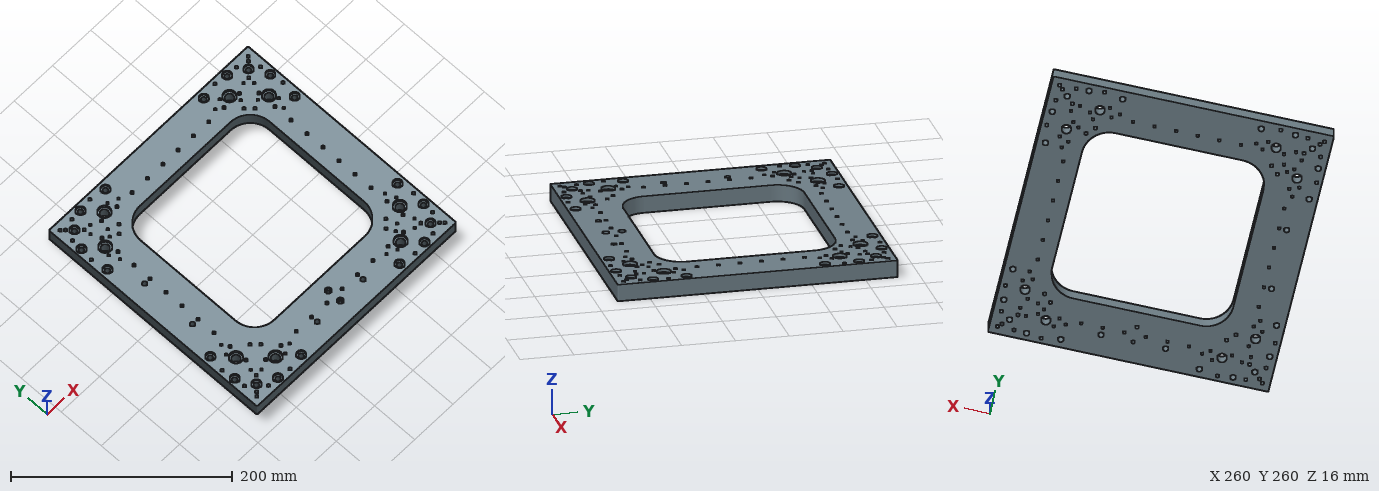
import cadquery as cq
side = 260.0
half = side / 2
thickness = 16.0
corner_radius = 1.0

window_side = 168.0
window_offset = 4.0
window_radius = 25.0

fine_hole = 2.5
small_hole = 3.0
locator_hole = 5.0

clamp_bore = (8.5, 13.0, 3.0)
bolt_bore = (5.2, 9.4, 2.5)
stop_bore = (small_hole, 6.5, 3.0)
row_bore = (fine_hole, small_hole, 1.0)

clamp_edge = 23.1
clamp_along = 48.4
diagonal_bolt = 16.5
edge_bolts = [(34.3, 6.8), (65.8, 7.8)]
diagonal_small = [7.3, 10.7, 22.5]
paired_small = [(22.5, 7.3), (clamp_along, 5.0), (clamp_along, 41.3)]
paired_fine = [(30.0, clamp_edge), (66.8, clamp_edge), (56.7, 19.0)]

single_fine = [
    (-1, 1, 37.7, 37.7),
    (-1, 1, 33.3, 44.2),
    (1, 1, 44.2, 33.3),
    (1, 1, 33.3, 44.2),
    (1, -1, 37.7, 37.7),
    (1, -1, 44.2, 33.3),
]

row_offset = 102.5
row_span = 180.0
row_count = 10

locator_offset = 109.5
locator_spread = 30.0
stop_offset = 109.7
stop_spacing = 15.0


def mirrored(points):
    """Copy points, given as distances in from two edges, to both sides of every corner diagonal."""
    spots = set()
    for a, b in points:
        for x, y in ((half - a, half - b), (half - b, half - a)):
            spots.update([(x, y), (-x, y), (x, -y), (-x, -y)])
    return sorted(spots)


def drill(body, diameter, points):
    """Drill plain through holes from the top face."""
    return body.faces(">Z").workplane(origin=(0, 0, 0)).pushPoints(points).hole(diameter)


def counterbore(body, sizes, points):
    """Drill through holes with a wider, flat-bottomed mouth in the top face."""
    return body.faces(">Z").workplane(origin=(0, 0, 0)).pushPoints(points).cboreHole(*sizes)


plate = cq.Workplane("XY").box(side, side, thickness).edges("|Z").fillet(corner_radius)
window = (
    cq.Workplane("XY")
    .center(window_offset, window_offset)
    .rect(window_side, window_side)
    .extrude(thickness, both=True)
    .edges("|Z")
    .fillet(window_radius)
)
result = plate.cut(window)

result = counterbore(result, clamp_bore, mirrored([(clamp_along, clamp_edge)]))
result = counterbore(result, bolt_bore, mirrored([(diagonal_bolt, diagonal_bolt)] + edge_bolts))

result = drill(result, small_hole, mirrored([(d, d) for d in diagonal_small] + paired_small))
result = drill(result, fine_hole, mirrored(paired_fine))
single_points = [(sx * (half - a), sy * (half - b)) for sx, sy, a, b in single_fine]
result = drill(result, fine_hole, single_points)

row_pitch = row_span / (row_count - 1)
row_places = [i * row_pitch - row_span / 2 for i in range(row_count)]
for sign in (-1, 1):
    result = counterbore(result, row_bore, [(p, sign * row_offset) for p in row_places])
    result = counterbore(result, row_bore, [(sign * row_offset, p) for p in row_places])

locators = []
for sign in (-1, 1):
    locators.append((sign * locator_spread, -locator_offset))
    locators.append((-locator_offset, sign * locator_spread))
result = drill(result, locator_hole, locators)
stops = [(0, -stop_offset), (0, stop_spacing - stop_offset)]
result = counterbore(result, stop_bore, stops)